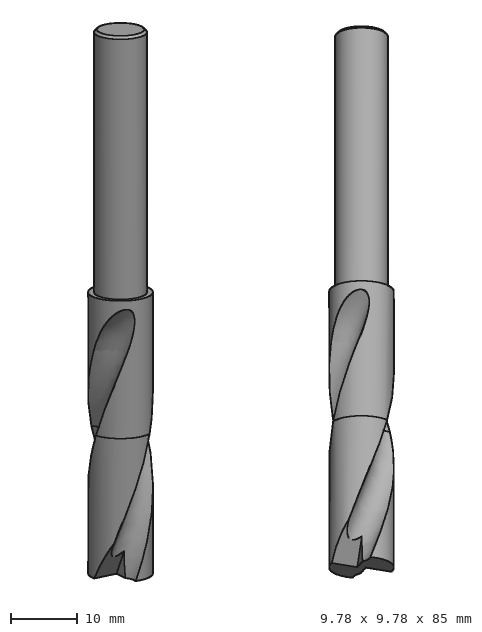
import cadquery as cq
import math

total_length = 85.0
body_radius = 4.89
shank_radius = 4.0
shoulder_z = 43.95
tip_length = 22.4
shank_chamfer = 0.4

flute_count = 2
flute_radius = 3.0
core_radius = 2.4
flute_offset = core_radius + flute_radius
flute_start_angle = -80.0
twist_rate = 4.588
helix_top_z = 35.45
runout_top_z = 42.6
runout_sections = 6

gash_corner = (-0.5, -0.4)
gash_face_end = (-4.6, -5.9)
gash_wall_end = (4.6, -5.5)
gash_peak_z = 12.75


def flute_section(z, offset):
    """Workplane with the circle of the first flute at height z, its centre at `offset` from the axis."""
    angle = math.radians(flute_start_angle + twist_rate * z)
    center = (offset * math.cos(angle), offset * math.sin(angle))
    x_direction = (math.cos(angle), math.sin(angle), 0)
    plane = cq.Plane(origin=(*center, z), xDir=x_direction, normal=(0, 0, 1))
    return cq.Workplane(plane).circle(flute_radius)


def runout_offset(z):
    """Centre offset in the runout: an arc that starts parallel to the axis and ends at the surface."""
    length = runout_top_z - helix_top_z
    rise = body_radius - core_radius
    arc_radius = (length**2 + rise**2) / (2 * rise)
    return flute_offset + arc_radius - math.sqrt(arc_radius**2 - (z - helix_top_z) ** 2)


def make_flute_helix():
    """First flute at full depth, from z = 0 to the start of its runout."""
    start_angle = math.radians(flute_start_angle)
    center_x = flute_offset * math.cos(start_angle)
    center_y = flute_offset * math.sin(start_angle)
    return (
        cq.Workplane("XY")
        .moveTo(center_x, center_y)
        .circle(flute_radius)
        .twistExtrude(helix_top_z, twist_rate * helix_top_z)
    )


def make_flute_runout():
    """Upper end of the first flute, which keeps winding while it rises out of the body."""
    step = (runout_top_z - helix_top_z) / (runout_sections - 1)
    heights = [helix_top_z + i * step for i in range(runout_sections)]
    wires = [flute_section(z, runout_offset(z)).wire().val() for z in heights]
    return cq.Workplane("XY").add(cq.Solid.makeLoft(wires))


def make_gash():
    """Four-sided solid whose peak stands straight above the outer end of its wall."""
    corner = cq.Vector(*gash_corner, 0)
    face_end = cq.Vector(*gash_face_end, 0)
    wall_end = cq.Vector(*gash_wall_end, 0)
    peak = cq.Vector(*gash_wall_end, gash_peak_z)
    triangles = [
        (corner, face_end, wall_end),
        (corner, face_end, peak),
        (corner, wall_end, peak),
        (face_end, wall_end, peak),
    ]
    faces = [cq.Face.makeFromWires(cq.Wire.makePolygon(points, close=True)) for points in triangles]
    return cq.Workplane("XY").add(cq.Solid.makeSolid(cq.Shell.makeShell(faces)))


def cut_each_flute(body, tool):
    """Cut the tool of the first flute, turned to every flute in turn."""
    for i in range(flute_count):
        body = body.cut(tool.rotate((0, 0, 0), (0, 0, 1), i * 360 / flute_count))
    return body


def make_tip():
    """Cutting tip: the lower part of the fluted body, with a gash at each flute end."""
    blank = cq.Workplane("XY").circle(body_radius).extrude(tip_length)
    fluted = cut_each_flute(blank, make_flute_helix())
    return cut_each_flute(fluted, make_gash())


def make_holder():
    """Holder: the upper part of the fluted body and the shank."""
    body = (
        cq.Workplane("XY")
        .workplane(offset=tip_length)
        .circle(body_radius)
        .extrude(shoulder_z - tip_length)
    )
    shank = (
        cq.Workplane("XY")
        .workplane(offset=shoulder_z)
        .circle(shank_radius)
        .extrude(total_length - shoulder_z)
        .faces(">Z")
        .chamfer(shank_chamfer)
    )
    blank = body.union(shank)
    fluted = cut_each_flute(blank, make_flute_helix())
    return cut_each_flute(fluted, make_flute_runout())


tip = make_tip()
holder = make_holder()
result = cq.Compound.makeCompound([tip.solids().val(), holder.solids().val()])